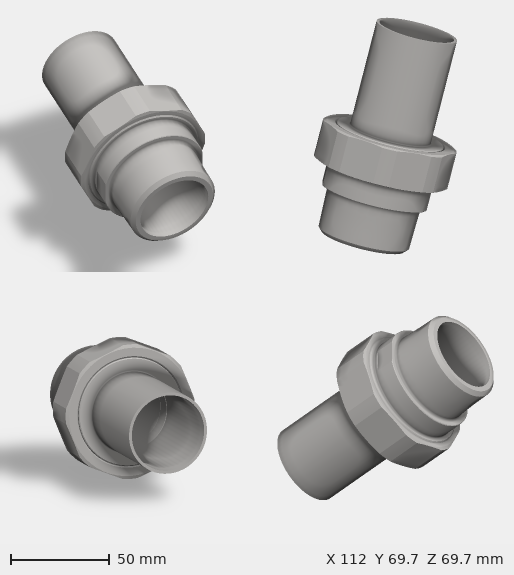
import cadquery as cq
import math

total_length = 112.0

pipe_radius = 42.0 / 2
pipe_bore_radius = 39.0 / 2
collar_face_x = 55.0
collar_radius = 56.0 / 2
collar_bevel = 0.5
collar_fillet = 0.7
flange_x = 60.5
flange_radius = 60.0 / 2
joint_x = 63.8
collar_bore_radius = 38.2 / 2

nut_start_x = 55.3
nut_end_x = 75.4
nut_corner_radius = 69.7 / 2
nut_across_flats = 67.0
nut_sides = 8
nut_face_radius = 33.2
nut_left_chamfer = 0.7
nut_right_chamfer = 0.5
nut_neck_radius = 56.5 / 2
nut_neck_bevel = 0.6
nut_thread_radius = 61.8 / 2

body_bore_radius = 38.0 / 2
thread_face_x = 76.0
thread_face_radius = 60.4 / 2
barrel_radius = 56.0 / 2
barrel_fillet = 0.7
barrel_end_x = 87.9
barrel_edge_bevel = 0.3
wrench_flat_x = 78.0
wrench_flat_offset = 27.1
taper_start_x = 88.9
taper_start_radius = 24.3
taper_per_length = 1 / 32
end_chamfer = 2.0


def revolve_about_x(profile):
    """Revolve a closed (x, radius) profile around the X axis."""
    return profile.close().revolve(360, (0, 0, 0), (1, 0, 0))


def fillet_mid(center_x, center_radius, radius, direction_x):
    """Middle point of a concave quarter arc that faces the axis."""
    offset = radius * math.sqrt(0.5)
    return center_x + direction_x * offset, center_radius - offset


def make_tail():
    fillet_start_x = collar_face_x - collar_fillet
    fillet_top = pipe_radius + collar_fillet
    return revolve_about_x(
        cq.Workplane("XY")
        .moveTo(0, pipe_bore_radius)
        .lineTo(0, pipe_radius)
        .lineTo(fillet_start_x, pipe_radius)
        .threePointArc(
            fillet_mid(fillet_start_x, fillet_top, collar_fillet, 1),
            (collar_face_x, fillet_top),
        )
        .lineTo(collar_face_x, collar_radius - collar_bevel)
        .lineTo(collar_face_x + collar_bevel, collar_radius)
        .lineTo(flange_x, collar_radius)
        .lineTo(flange_x, flange_radius)
        .lineTo(joint_x, flange_radius)
        .lineTo(joint_x, collar_bore_radius)
        .lineTo(collar_face_x, collar_bore_radius)
        .lineTo(collar_face_x, pipe_bore_radius)
    )


def make_nut():
    blank = revolve_about_x(
        cq.Workplane("XY")
        .moveTo(nut_start_x, nut_neck_radius + nut_neck_bevel)
        .lineTo(nut_start_x, nut_face_radius)
        .lineTo(nut_start_x + nut_left_chamfer, nut_corner_radius)
        .lineTo(nut_end_x - nut_right_chamfer, nut_corner_radius)
        .lineTo(nut_end_x, nut_face_radius)
        .lineTo(nut_end_x, nut_thread_radius)
        .lineTo(flange_x, nut_thread_radius)
        .lineTo(flange_x, nut_neck_radius)
        .lineTo(nut_start_x + nut_neck_bevel, nut_neck_radius)
    )
    nut_across_corners = nut_across_flats / math.cos(math.pi / nut_sides)
    octagon = (
        cq.Workplane("YZ", origin=(nut_start_x, 0, 0))
        .polygon(nut_sides, nut_across_corners)
        .extrude(nut_end_x - nut_start_x)
    )
    return blank.intersect(octagon)


def make_body():
    chamfer_start_x = total_length - end_chamfer
    taper_end_radius = taper_start_radius - taper_per_length * (chamfer_start_x - taper_start_x)
    barrel_start_x = thread_face_x + barrel_fillet
    step_fillet = taper_start_x - barrel_end_x
    barrel_fillet_top = barrel_radius + barrel_fillet
    step_fillet_top = taper_start_radius + step_fillet
    body = revolve_about_x(
        cq.Workplane("XY")
        .moveTo(joint_x, body_bore_radius)
        .lineTo(joint_x, nut_thread_radius)
        .lineTo(nut_end_x, nut_thread_radius)
        .lineTo(thread_face_x, thread_face_radius)
        .lineTo(thread_face_x, barrel_fillet_top)
        .threePointArc(
            fillet_mid(barrel_start_x, barrel_fillet_top, barrel_fillet, -1),
            (barrel_start_x, barrel_radius),
        )
        .lineTo(barrel_end_x - barrel_edge_bevel, barrel_radius)
        .lineTo(barrel_end_x, barrel_radius - barrel_edge_bevel)
        .lineTo(barrel_end_x, step_fillet_top)
        .threePointArc(
            fillet_mid(taper_start_x, step_fillet_top, step_fillet, -1),
            (taper_start_x, taper_start_radius),
        )
        .lineTo(chamfer_start_x, taper_end_radius)
        .lineTo(total_length, taper_end_radius - end_chamfer)
        .lineTo(total_length, body_bore_radius)
    )
    flat_length = barrel_end_x - wrench_flat_x
    flat_depth = barrel_radius - wrench_flat_offset
    for side in (-1, 1):
        cutter = cq.Workplane("XY").box(flat_length, flat_depth, 2 * barrel_radius).translate(
            (wrench_flat_x + flat_length / 2, side * (wrench_flat_offset + flat_depth / 2), 0)
        )
        body = body.cut(cutter)
    return body


tail = make_tail()
nut = make_nut()
body = make_body()

result = cq.Compound.makeCompound([tail.val(), nut.val(), body.val()])